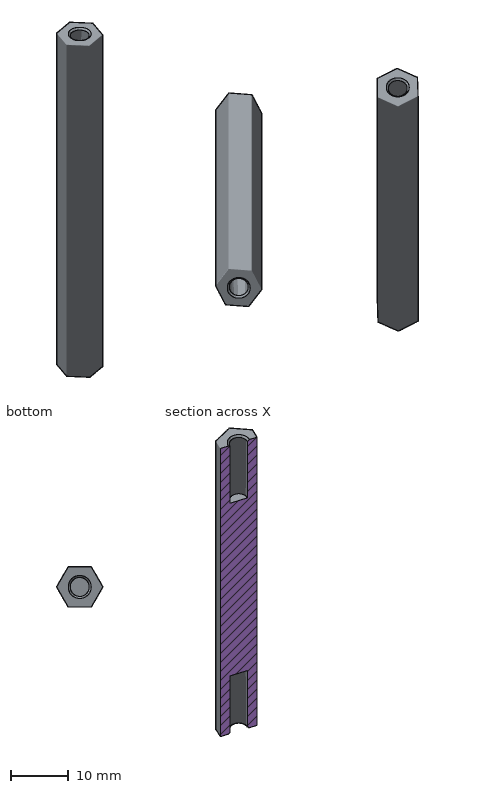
import cadquery as cq
import math

length = 70.0
across_flats = 7.0
across_corners = across_flats / math.cos(math.radians(30))
edge_radius = 0.1
bore_diameter = 3.3
mouth_diameter = 4.0
bore_depth = 14.0
countersink_depth = (mouth_diameter - bore_diameter) / 2

bar = cq.Workplane("XY").polygon(6, across_corners).extrude(length).edges().fillet(edge_radius)

top_bore = (
    cq.Workplane("XY", origin=(0, 0, length - bore_depth))
    .circle(bore_diameter / 2)
    .extrude(bore_depth)
    .faces(">Z")
    .workplane()
    .circle(mouth_diameter / 2)
    .extrude(-countersink_depth, taper=45)
)

bottom_bore = top_bore.mirror("XY", (0, 0, length / 2))

result = bar.cut(top_bore).cut(bottom_bore)